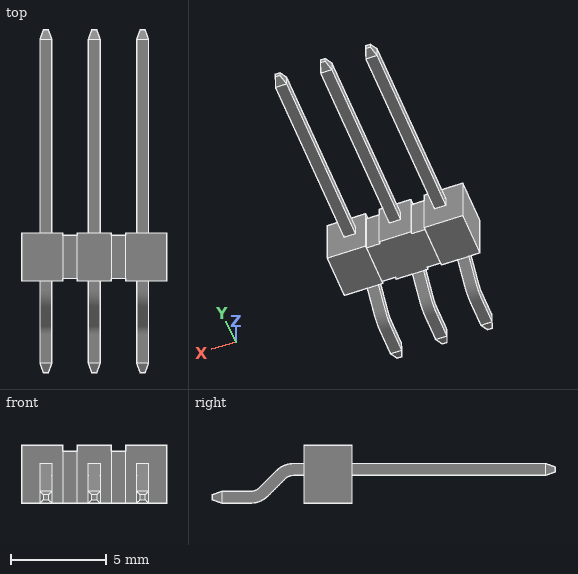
import cadquery as cq
import math

pitch = 2.54
housing_length = 3 * pitch
housing_depth = 2.54
housing_height = 3.05
total_depth = 18.03

neck_width = 0.75
neck_depth = 2.286
neck_height = 2.743

pin_size = 0.635
pin_bottom_z = 1.46
foot_reach = 4.82
tip_length = 0.508
tip_size = 0.265

bend_angle = math.radians(45)
inner_radius = 0.635
outer_radius = inner_radius + pin_size
straight_before_bend = 0.54

block_gap_center_x = pitch / 2
middle_block_half = block_gap_center_x - neck_width / 2
end_block_inner_x = block_gap_center_x + neck_width / 2
end_block_outer_x = housing_length / 2

housing_front_y = -housing_depth / 2
foot_end_y = housing_front_y - foot_reach
tail_end_y = foot_end_y + total_depth
bend_start_y = housing_front_y - straight_before_bend
arc_drop = (inner_radius + outer_radius) * (1 - math.cos(bend_angle))
arc_run = (inner_radius + outer_radius) * math.sin(bend_angle)
ramp_drop = pin_bottom_z - arc_drop
bend_end_y = bend_start_y - arc_run - ramp_drop / math.tan(bend_angle)


def arc_point(center_y, center_z, radius, angle):
    """Point on a bend arc, with the angle measured from straight up toward -Y."""
    return (center_y - radius * math.sin(angle), center_z + radius * math.cos(angle))


def make_shank():
    """Constant-section part of the pin, swept as a side profile in the YZ plane."""
    upper_center = (bend_start_y, pin_bottom_z - inner_radius)
    lower_center = (bend_end_y, outer_radius)
    half_bend = bend_angle / 2

    def upper(radius, angle):
        return arc_point(*upper_center, radius, angle)

    def lower(radius, angle):
        return arc_point(*lower_center, -radius, angle)

    foot_shoulder_y = foot_end_y + tip_length
    tail_shoulder_y = tail_end_y - tip_length
    return (
        cq.Workplane("YZ", origin=(-pin_size / 2, 0, 0))
        .moveTo(tail_shoulder_y, pin_bottom_z + pin_size)
        .lineTo(*upper(outer_radius, 0))
        .threePointArc(upper(outer_radius, half_bend), upper(outer_radius, bend_angle))
        .lineTo(*lower(inner_radius, bend_angle))
        .threePointArc(lower(inner_radius, half_bend), lower(inner_radius, 0))
        .lineTo(foot_shoulder_y, pin_size)
        .lineTo(foot_shoulder_y, 0)
        .lineTo(*lower(outer_radius, 0))
        .threePointArc(lower(outer_radius, half_bend), lower(outer_radius, bend_angle))
        .lineTo(*upper(inner_radius, bend_angle))
        .threePointArc(upper(inner_radius, half_bend), upper(inner_radius, 0))
        .lineTo(tail_shoulder_y, pin_bottom_z)
        .close()
        .extrude(pin_size)
    )


def make_tip(end_y, bottom_z, direction):
    """Tapered pin end whose small face lies at end_y; direction is the way it points along Y."""
    return (
        cq.Workplane(cq.Plane(
            origin=(0, end_y - direction * tip_length, bottom_z + pin_size / 2),
            xDir=(1, 0, 0),
            normal=(0, direction, 0),
        ))
        .rect(pin_size, pin_size)
        .workplane(offset=tip_length)
        .rect(tip_size, tip_size)
        .loft(ruled=True)
    )


def make_pin():
    """Complete pin centred on X = 0, from the foot tip to the tail tip."""
    foot_tip = make_tip(foot_end_y, 0, -1)
    tail_tip = make_tip(tail_end_y, pin_bottom_z, 1)
    return make_shank().union(foot_tip).union(tail_tip)


def make_box(min_x, max_x, depth, height):
    """Box standing on Z = 0 and centred on Y = 0."""
    return (
        cq.Workplane("XY")
        .box(max_x - min_x, depth, height, centered=(False, True, False))
        .translate((min_x, 0, 0))
    )


def make_end_contact(side):
    """End block with its moulded-in pin; side is -1 for the left end and 1 for the right end."""
    min_x, max_x = sorted((side * end_block_inner_x, side * end_block_outer_x))
    block = make_box(min_x, max_x, housing_depth, housing_height)
    return block.union(make_pin().translate((side * pitch, 0, 0)))


def make_middle_contact():
    """Middle block with its moulded-in pin and the necks that reach both end blocks."""
    block = make_box(-middle_block_half, middle_block_half, housing_depth, housing_height)
    necks = make_box(-end_block_inner_x, end_block_inner_x, neck_depth, neck_height)
    return block.union(necks).union(make_pin())


end_contacts = [make_end_contact(side) for side in (-1, 1)]
middle_contact = make_middle_contact()

result = cq.Compound.makeCompound([
    middle_contact.val(),
    *[contact.val() for contact in end_contacts],
])